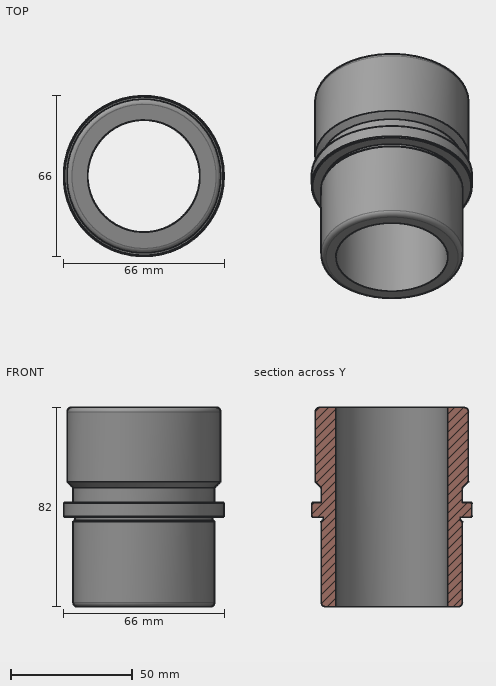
import cadquery as cq

total_height = 82.0
groove_bottom = 35.5
flange_bottom = 36.8
flange_height = 6.15
head_bottom = 49.0
head_taper_height = 2.5

bore_diameter = 45.9
shank_diameter = 58.2
groove_diameter = 56.6
flange_diameter = 66.0
head_diameter = 63.1

end_round = 2.0
flange_chamfer = 0.5
shank_chamfer = 0.6


def ring_body(diameter, bottom, top):
    """Solid cylinder about Z between two heights."""
    return cq.Workplane("XY").workplane(offset=bottom).circle(diameter / 2).extrude(top - bottom)


shank = ring_body(shank_diameter, 0, groove_bottom)
shank = shank.faces("<Z").edges().fillet(end_round)
shank = shank.faces(">Z").edges().chamfer(shank_chamfer)

groove_core = ring_body(groove_diameter, groove_bottom, flange_bottom)

flange_top = flange_bottom + flange_height
flange = ring_body(flange_diameter, flange_bottom, flange_top)
flange = flange.faces("<Z or >Z").edges().chamfer(flange_chamfer)

neck = ring_body(shank_diameter, flange_top, head_bottom)

head_taper_width = (head_diameter - shank_diameter) / 2
head = ring_body(head_diameter, head_bottom, total_height)
head = head.faces("<Z").edges().chamfer(head_taper_height, head_taper_width)
head = head.faces(">Z").edges().fillet(end_round)

body = shank.union(groove_core).union(flange).union(neck).union(head)
result = body.cut(ring_body(bore_diameter, 0, total_height))